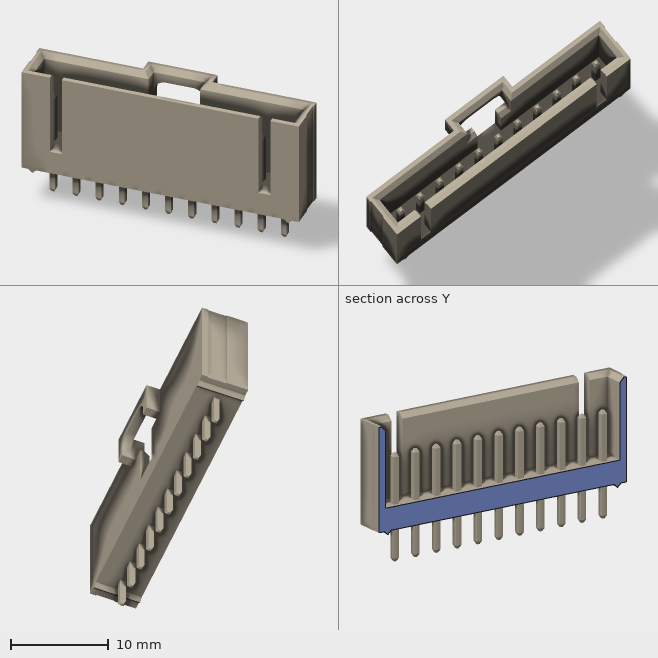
import cadquery as cq


LENGTH = 30.4
DEPTH = 5.1
HEIGHT = 11.43
FLOOR = 2.55
SIDE_WALL = 0.95
FRONT_WALL = 1.05
REAR_WALL = 1.0
LEAD_IN = 0.52

TOWER_WIDTH = 7.6
TOWER_REACH = 1.5
TOWER_HEIGHT = 3.8
TOWER_SIDE_WALL = 0.97
WINDOW_DROP = 1.5
WINDOW_RADIUS = 1.35
REAR_SLOT_WIDTH = 3.05

FRONT_SLOT_WIDTH = 1.3
FRONT_SLOT_OFFSET = 3.77
RECESS_DEPTH = 0.1
RECESS_START = 2.37
RECESS_END = 4.38
RIDGE_OFFSET = 1.2
RIDGE_WIDTH = 0.85
RIDGE_HEIGHT = 0.4

PIN_COUNT = 11
PIN_ROW_SPAN = 25.38
PIN_SIZE = 0.65
PIN_Y = 2.58
PIN_BELOW = 3.68
PIN_ABOVE = 5.47
TIP_LENGTH = 0.35
TIP_TAPER = 0.18

PIN_PITCH = PIN_ROW_SPAN / (PIN_COUNT - 1)
TOWER_BACK = DEPTH + TOWER_REACH
TOWER_BOTTOM = HEIGHT - TOWER_HEIGHT
TOWER_INNER_WIDTH = TOWER_WIDTH - 2 * TOWER_SIDE_WALL


def block(width, y_start, y_end, z_start, z_end, x_centre=0.0):
    """Box centred on x_centre and spanning the given Y and Z ranges."""
    size = (width, y_end - y_start, z_end - z_start)
    return cq.Workplane("XY").box(*size, centered=(True, False, False)).translate((x_centre, y_start, z_start))


def make_shell():
    """Open housing with its tower; the cavity mouth and the ledge under the tower are chamfered."""
    inner_rear = DEPTH - REAR_WALL
    body = block(LENGTH, 0, DEPTH, 0, HEIGHT)
    tower = block(TOWER_WIDTH, inner_rear, TOWER_BACK, TOWER_BOTTOM, HEIGHT)
    cavity = block(LENGTH - 2 * SIDE_WALL, FRONT_WALL, inner_rear, FLOOR, HEIGHT)
    tower_cavity = block(TOWER_INNER_WIDTH, FRONT_WALL, TOWER_BACK - REAR_WALL, TOWER_BOTTOM, HEIGHT)
    shell = body.union(tower).cut(cavity).cut(tower_cavity)

    mouth = shell.faces(">Z").val().innerWires()[0]
    shell = shell.newObject(mouth.Edges()).chamfer(LEAD_IN)
    ledge_edge = cq.selectors.NearestToPointSelector((0, inner_rear, TOWER_BOTTOM))
    return shell.edges(ledge_edge).chamfer(LEAD_IN)


def make_rear_openings():
    """Round-topped window through the tower's rear wall, and the slot below it down to the floor."""
    window = block(
        TOWER_INNER_WIDTH, TOWER_BACK - REAR_WALL, TOWER_BACK, TOWER_BOTTOM, HEIGHT - WINDOW_DROP
    )
    window = window.edges("|Y and >Z").fillet(WINDOW_RADIUS)
    slot = block(REAR_SLOT_WIDTH, DEPTH - REAR_WALL, DEPTH, FLOOR, TOWER_BOTTOM)
    return window.union(slot)


def make_pin(x_centre):
    """Square pin with a tapered tip at both ends."""
    tip_size = PIN_SIZE - 2 * TIP_TAPER
    bottom = -PIN_BELOW
    top = FLOOR + PIN_ABOVE
    pin = block(PIN_SIZE, -PIN_SIZE / 2, PIN_SIZE / 2, bottom + TIP_LENGTH, top - TIP_LENGTH)
    for end_face in (">Z", "<Z"):
        tip = (
            pin.faces(end_face).workplane().rect(PIN_SIZE, PIN_SIZE)
            .workplane(offset=TIP_LENGTH).rect(tip_size, tip_size)
            .loft(combine=False)
        )
        pin = pin.union(tip)
    return pin.translate((x_centre, PIN_Y, 0))


def make_ridge(x_centre):
    """V-shaped standoff ridge across the underside."""
    half_width = RIDGE_WIDTH / 2
    return (
        cq.Workplane("XZ")
        .polyline([(x_centre - half_width, 0), (x_centre + half_width, 0), (x_centre, -RIDGE_HEIGHT)])
        .close()
        .extrude(-DEPTH)
    )


result = make_shell().cut(make_rear_openings())

for side in (-1, 1):
    end_x = side * LENGTH / 2
    slot_x = end_x - side * FRONT_SLOT_OFFSET
    result = result.cut(block(FRONT_SLOT_WIDTH, 0, FRONT_WALL, FLOOR, HEIGHT, slot_x))
    result = result.cut(block(2 * RECESS_DEPTH, RECESS_START, RECESS_END, 0, HEIGHT, end_x))
    result = result.union(make_ridge(end_x - side * RIDGE_OFFSET))

first_pin_x = -PIN_ROW_SPAN / 2
for index in range(PIN_COUNT):
    result = result.union(make_pin(first_pin_x + index * PIN_PITCH))